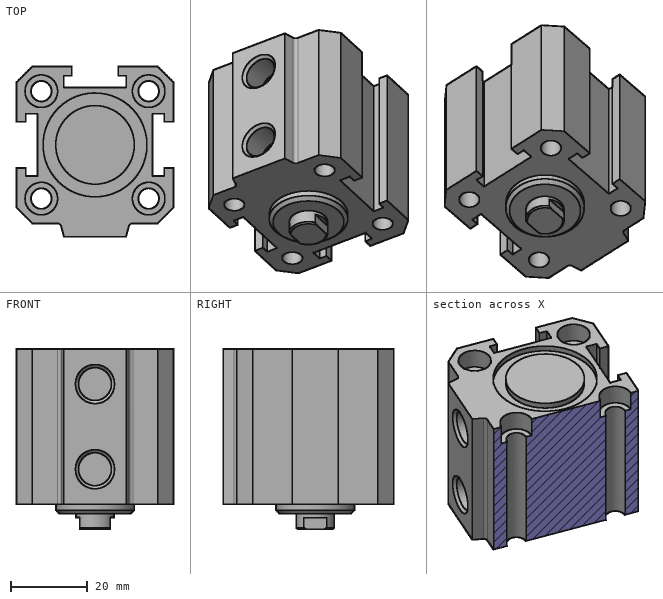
import cadquery as cq
import math

HOUSING_WIDTH = 41.0
HOUSING_HEIGHT = 40.5
CORNER_CHAMFER = 4.2
HALF_WIDTH = HOUSING_WIDTH / 2

LUG_HEIGHT = 3.5
LUG_FACE_WIDTH = 16.2
LUG_FLANK_ANGLE = 15.0
LUG_ROOT_RADIUS = 1.0
LUG_ROOT_HALF_WIDTH = LUG_FACE_WIDTH / 2 + LUG_HEIGHT * math.tan(math.radians(LUG_FLANK_ANGLE))

SLOT_MOUTH_WIDTH = 12.0
SLOT_INNER_WIDTH = 16.2
SLOT_LIP_THICKNESS = 2.5
SLOT_DEPTH = 5.5
SLOT_TURNS = (-90, 0, 90)

MOUNTING_PITCH = 28.0
MOUNTING_HOLE_DIAMETER = 5.3
COUNTERBORE_DIAMETER = 8.5
COUNTERBORE_DEPTH = 5.5

RECESS_DIAMETER = 27.1
RECESS_DEPTH = 1.6
DISC_DIAMETER = 20.5

PORT_DIAMETER = 8.57
PORT_MOUTH_DIAMETER = 10.2
PORT_DEPTH = 8.0
PORT_END_DISTANCE = 9.15
PORT_HEIGHTS = (PORT_END_DISTANCE, HOUSING_HEIGHT - PORT_END_DISTANCE)

COLLAR_DIAMETER = 20.5
COLLAR_HEIGHT = 2.5
COLLAR_CHAMFER = 1.0

ROD_DIAMETER = 10.0
ROD_PROJECTION = 4.0
ROD_END_CHAMFER = 0.4
ROD_ACROSS_FLATS = 8.0
ROD_FLAT_LENGTH = 3.0
ROD_BORE_TOP = 20.0
ROD_END_Z = -COLLAR_HEIGHT - ROD_PROJECTION


def chamfered_block():
    block = cq.Workplane("XY").rect(HOUSING_WIDTH, HOUSING_WIDTH).extrude(HOUSING_HEIGHT)
    return block.edges("|Z").chamfer(CORNER_CHAMFER)


def port_lug():
    """Trapezoid that widens toward the housing, reaching a little way into it."""
    overlap = 1.0
    half_face = LUG_FACE_WIDTH / 2
    root_y = -HALF_WIDTH
    face_y = root_y - LUG_HEIGHT
    return (
        cq.Workplane("XY")
        .moveTo(-half_face, face_y)
        .lineTo(half_face, face_y)
        .lineTo(LUG_ROOT_HALF_WIDTH, root_y)
        .lineTo(LUG_ROOT_HALF_WIDTH, root_y + overlap)
        .lineTo(-LUG_ROOT_HALF_WIDTH, root_y + overlap)
        .lineTo(-LUG_ROOT_HALF_WIDTH, root_y)
        .close()
        .extrude(HOUSING_HEIGHT)
    )


def round_lug_roots(body):
    """Fillet the two vertical inside corners where the lug flanks meet the housing."""
    for root_x in (-LUG_ROOT_HALF_WIDTH, LUG_ROOT_HALF_WIDTH):
        corner = (root_x, -HALF_WIDTH, HOUSING_HEIGHT / 2)
        body = body.edges(cq.NearestToPointSelector(corner)).fillet(LUG_ROOT_RADIUS)
    return body


def t_slot():
    """T-slot cutter for the +Y side."""
    inner_depth = SLOT_DEPTH - SLOT_LIP_THICKNESS
    mouth = (
        cq.Workplane("XY")
        .center(0, HALF_WIDTH - SLOT_DEPTH / 2)
        .rect(SLOT_MOUTH_WIDTH, SLOT_DEPTH)
        .extrude(HOUSING_HEIGHT)
    )
    inner = (
        cq.Workplane("XY")
        .center(0, HALF_WIDTH - SLOT_LIP_THICKNESS - inner_depth / 2)
        .rect(SLOT_INNER_WIDTH, inner_depth)
        .extrude(HOUSING_HEIGHT)
    )
    return mouth.union(inner)


def drill_mounting_holes(body):
    return (
        body.faces(">Z")
        .workplane(origin=(0, 0, HOUSING_HEIGHT))
        .rect(MOUNTING_PITCH, MOUNTING_PITCH, forConstruction=True)
        .vertices()
        .cboreHole(MOUNTING_HOLE_DIAMETER, COUNTERBORE_DIAMETER, COUNTERBORE_DEPTH)
    )


def top_ring():
    return (
        cq.Workplane("XY", origin=(0, 0, HOUSING_HEIGHT - RECESS_DEPTH))
        .circle(RECESS_DIAMETER / 2)
        .circle(DISC_DIAMETER / 2)
        .extrude(RECESS_DEPTH)
    )


def port(height):
    """Cutter for a flat-bottomed port with a 45 degree mouth, revolved about its Y-direction axis."""
    radius = PORT_DIAMETER / 2
    mouth_radius = PORT_MOUTH_DIAMETER / 2
    face_y = -HALF_WIDTH - LUG_HEIGHT
    floor_y = face_y + PORT_DEPTH
    return (
        cq.Workplane("XY", origin=(0, 0, height))
        .moveTo(0, face_y)
        .lineTo(mouth_radius, face_y)
        .lineTo(radius, face_y + mouth_radius - radius)
        .lineTo(radius, floor_y)
        .lineTo(0, floor_y)
        .close()
        .revolve(360, (0, 0, 0), (0, 1, 0))
    )


def collar():
    disc = cq.Workplane("XY").circle(COLLAR_DIAMETER / 2).extrude(-COLLAR_HEIGHT)
    return disc.faces("<Z").edges().chamfer(COLLAR_CHAMFER)


def rod_cylinder():
    """Plain rod, from its free end to the closed end of its bore."""
    return (
        cq.Workplane("XY", origin=(0, 0, ROD_END_Z))
        .circle(ROD_DIAMETER / 2)
        .extrude(ROD_BORE_TOP - ROD_END_Z)
    )


def make_housing():
    body = round_lug_roots(chamfered_block().union(port_lug()))
    for turn in SLOT_TURNS:
        body = body.cut(t_slot().rotate((0, 0, 0), (0, 0, 1), turn))
    body = drill_mounting_holes(body)
    body = body.cut(top_ring())
    for height in PORT_HEIGHTS:
        body = body.cut(port(height))
    return body.union(collar()).cut(rod_cylinder())


def make_rod():
    """Rod with a chamfered end and two wrench flats facing -X and +X."""
    rod = rod_cylinder().faces("<Z").edges().chamfer(ROD_END_CHAMFER)
    flat_end = (
        cq.Workplane("XY", origin=(0, 0, ROD_END_Z))
        .rect(ROD_DIAMETER, ROD_DIAMETER)
        .extrude(ROD_FLAT_LENGTH)
    )
    kept_core = (
        cq.Workplane("XY", origin=(0, 0, ROD_END_Z))
        .rect(ROD_ACROSS_FLATS, ROD_DIAMETER)
        .extrude(ROD_FLAT_LENGTH)
    )
    return rod.cut(flat_end.cut(kept_core))


housing = make_housing()
piston_rod = make_rod()

result = cq.Compound.makeCompound([housing.val(), piston_rod.val()])